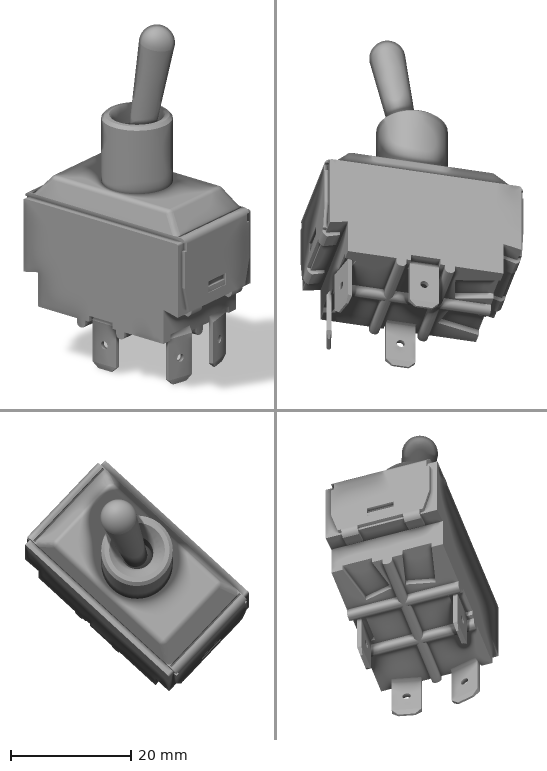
import cadquery as cq
import math

hole_z = 4.5
rib_bottom = 7.0
body_bottom = 8.4
pocket_top = 9.5
step_inner = 14.55
step_outer = 13.9
body_top = 27.1
frame_top = 27.8
cap_top = 31.3
bushing_top = 43.2
overall_height = 60.2

body_length = 32.75
base_length = 26.6
body_width = 19.5
body_edge_radius = 0.35

rib_width = 1.7
rib_edge_radius = 0.7
cross_rib_x = 4.15

frame_length = 34.0
frame_width = 17.2
frame_bend_radius = 0.95
arm_neck_width = 16.15
arm_neck_bottom = 25.5
arm_taper_top = 18.9
arm_bottom = 14.4
arm_bottom_width = 14.9
tab_center_y = 5.4
tab_width = 2.8
tab_tip_x = 13.95
tab_low_x = 16.15
tab_low_z = 13.1
tab_tip_z = 13.8
tab_bend_sagitta = 0.25
cap_gap = 0.35
cap_gap_length = 16.85
window_width = 4.65
window_top = 18.25
window_bottom = 16.2
catch_top = 17.15
catch_recess = 0.1

cap_base_length = 30.7
cap_base_width = 17.2
cap_top_length = 24.9
cap_top_width = 14.15
cap_edge_radius = 1.0

bushing_diameter = 11.9
bushing_chamfer = 0.55
mouth_diameter = 9.3
bore_diameter = 5.4
cone_depth = 2.5
pivot_z = 35.3
lever_tilt = 10.9
lever_root_diameter = 3.8
lever_head_diameter = 6.0

terminal_width = 5.0
terminal_thickness = 0.8
terminal_hole_diameter = 1.4
tip_height = 1.0
tip_width = 2.8
tip_bevel = 0.21
bend_inset = 0.7
side_terminal_y = 8.8
end_terminal_x = 13.35
end_terminal_y = 5.25
end_terminal_angle = 13
pocket_reach = 3.0
empty_pocket_depth = 7.05


def centered_box(length, width, bottom, top):
    """Box centred on the Z axis between two heights."""
    return cq.Workplane("XY").workplane(offset=bottom).rect(length, width).extrude(top - bottom)


def make_housing():
    outline = [
        (-base_length / 2, body_bottom),
        (base_length / 2, body_bottom),
        (base_length / 2, step_inner),
        (body_length / 2, step_outer),
        (body_length / 2, body_top),
        (-body_length / 2, body_top),
        (-body_length / 2, step_outer),
        (-base_length / 2, step_inner),
    ]
    housing = cq.Workplane("XZ").polyline(outline).close().extrude(body_width / 2, both=True)
    return housing.faces(">Z").edges("|Y").fillet(body_edge_radius)


def make_ribs():
    """One rib along X and two along Y, with rounded lower edges."""
    long_rib = centered_box(base_length, rib_width, rib_bottom, body_bottom)
    ribs = long_rib.faces("<Z").edges("|X").fillet(rib_edge_radius)
    cross_rib = centered_box(rib_width, body_width, rib_bottom, body_bottom)
    cross_rib = cross_rib.faces("<Z").edges("|Y").fillet(rib_edge_radius)
    for x in (-cross_rib_x, cross_rib_x):
        ribs = ribs.union(cross_rib.translate((x, 0, 0)))
    return ribs


def make_frame():
    """Folded frame; it is solid above the housing step because the housing fills it there."""
    frame = centered_box(frame_length, frame_width, arm_bottom, frame_top)
    frame = frame.faces(">Z").edges("|Y").fillet(frame_bend_radius)
    right_half = [
        (frame_width / 2, frame_top),
        (frame_width / 2, body_top),
        (arm_neck_width / 2, body_top),
        (arm_neck_width / 2, arm_neck_bottom),
        (frame_width / 2, arm_neck_bottom),
        (frame_width / 2, arm_taper_top),
        (arm_bottom_width / 2, arm_bottom),
    ]
    left_half = [(-y, z) for y, z in reversed(right_half)]
    arm_outline = cq.Workplane("YZ").polyline(right_half + left_half).close()
    frame = frame.intersect(arm_outline.extrude(frame_length / 2, both=True))
    return frame.cut(centered_box(body_length, body_width, arm_bottom, step_inner))


def cut_cap_gap(part, side):
    """Slot through the frame sheet beside one end of the cap."""
    gap = centered_box(cap_gap, cap_gap_length, body_top, frame_top)
    return part.cut(gap.translate((side * (cap_base_length + cap_gap) / 2, 0, 0)))


def cut_window(part, side):
    """Window in one frame arm, with the housing catch seated in its lower half."""
    depth = (frame_length - body_length) / 2
    for top, bottom, cut in (
        (window_top, catch_top, depth),
        (catch_top, window_bottom, catch_recess),
    ):
        block = cq.Workplane("XY").box(2 * cut, window_width, top - bottom)
        part = part.cut(block.translate((side * frame_length / 2, 0, (top + bottom) / 2)))
    return part


def make_tab(side, y):
    """Tab folded inward below the sloped step of the housing."""
    outer_x = frame_length / 2
    profile = (
        cq.Workplane("XZ")
        .moveTo(outer_x, arm_bottom)
        .sagittaArc((tab_low_x, tab_low_z), tab_bend_sagitta)
        .lineTo(tab_tip_x, tab_tip_z)
        .lineTo(tab_tip_x, step_inner)
        .close()
    )
    tab = profile.extrude(tab_width / 2, both=True).translate((0, y, 0))
    return tab if side > 0 else tab.mirror("YZ")


def make_cap():
    cap = (
        cq.Workplane("XY")
        .workplane(offset=frame_top)
        .rect(cap_base_length, cap_base_width)
        .workplane(offset=cap_top - frame_top)
        .rect(cap_top_length, cap_top_width)
        .loft(ruled=True)
    )
    return cap.edges("not <Z").fillet(cap_edge_radius)


def make_bushing():
    """Revolved sleeve with a conical mouth and a domed pivot in its bore."""
    outer = bushing_diameter / 2
    bore = bore_diameter / 2
    diagonal = bore * math.sqrt(0.5)
    return (
        cq.Workplane("XZ")
        .moveTo(0, frame_top)
        .lineTo(outer, frame_top)
        .lineTo(outer, bushing_top - bushing_chamfer)
        .lineTo(outer - bushing_chamfer, bushing_top)
        .lineTo(mouth_diameter / 2, bushing_top)
        .lineTo(bore, bushing_top - cone_depth)
        .lineTo(bore, pivot_z)
        .threePointArc((diagonal, pivot_z + diagonal), (0, pivot_z + bore))
        .close()
        .revolve(360, (0, 0, 0), (0, 1, 0))
    )


def make_lever():
    """Tapered lever with a hemispherical head, tilted about the pivot."""
    head = lever_head_diameter / 2
    head_z = overall_height - head
    length = (head_z - pivot_z) / math.cos(math.radians(lever_tilt))
    diagonal = head * math.sqrt(0.5)
    lever = (
        cq.Workplane("XZ")
        .lineTo(lever_root_diameter / 2, 0)
        .lineTo(head, length)
        .threePointArc((diagonal, length + diagonal), (0, length + head))
        .close()
        .revolve(360, (0, 0, 0), (0, 1, 0))
    )
    return lever.rotate((0, 0, 0), (0, 1, 0), lever_tilt).translate((0, 0, pivot_z))


def make_terminal():
    """Terminal whose outer face lies on the YZ plane and looks toward +X."""
    inner_end = pocket_top + bend_inset
    bend_x = -bend_inset - terminal_thickness
    side_profile = [
        (-tip_bevel, 0),
        (0, tip_height),
        (0, body_bottom),
        (-bend_inset, pocket_top),
        (-bend_inset, inner_end),
        (bend_x, inner_end),
        (bend_x, pocket_top),
        (-terminal_thickness, body_bottom),
        (-terminal_thickness, tip_height),
        (tip_bevel - terminal_thickness, 0),
    ]
    blade = cq.Workplane("XZ").polyline(side_profile).close().extrude(terminal_width / 2, both=True)
    face_outline = [
        (-tip_width / 2, 0),
        (tip_width / 2, 0),
        (terminal_width / 2, tip_height),
        (terminal_width / 2, inner_end),
        (-terminal_width / 2, inner_end),
        (-terminal_width / 2, tip_height),
    ]
    face = cq.Workplane("YZ").polyline(face_outline).close()
    blade = blade.intersect(face.extrude(bend_x))
    hole = cq.Workplane("YZ").center(0, hole_z).circle(terminal_hole_diameter / 2)
    return blade.cut(hole.extrude(-terminal_thickness))


def make_pocket(depth):
    """Pocket open at the bottom, running inward from the terminal face."""
    pocket = centered_box(depth + pocket_reach, terminal_width, body_bottom, pocket_top)
    return pocket.translate(((pocket_reach - depth) / 2, 0, 0))


def place(shape, x, y, angle):
    return shape.rotate((0, 0, 0), (0, 0, 1), angle).translate((x, y, 0))


terminal_places = [
    (0, side_terminal_y, 90),
    (0, -side_terminal_y, -90),
    (end_terminal_x, end_terminal_y, end_terminal_angle),
    (end_terminal_x, -end_terminal_y, -end_terminal_angle),
]
empty_places = [
    (-end_terminal_x, end_terminal_y, 180 - end_terminal_angle),
    (-end_terminal_x, -end_terminal_y, 180 + end_terminal_angle),
]

result = make_housing()
for spot in terminal_places:
    result = result.cut(place(make_pocket(terminal_thickness + bend_inset), *spot))
for spot in empty_places:
    result = result.cut(place(make_pocket(empty_pocket_depth), *spot))
result = result.union(make_ribs())
for spot in terminal_places:
    result = result.union(place(make_terminal(), *spot))

result = result.union(make_frame())
for side in (-1, 1):
    result = cut_cap_gap(result, side)
    result = cut_window(result, side)
    for tab_y in (-tab_center_y, tab_center_y):
        result = result.union(make_tab(side, tab_y))

result = result.union(make_cap()).union(make_bushing()).union(make_lever())